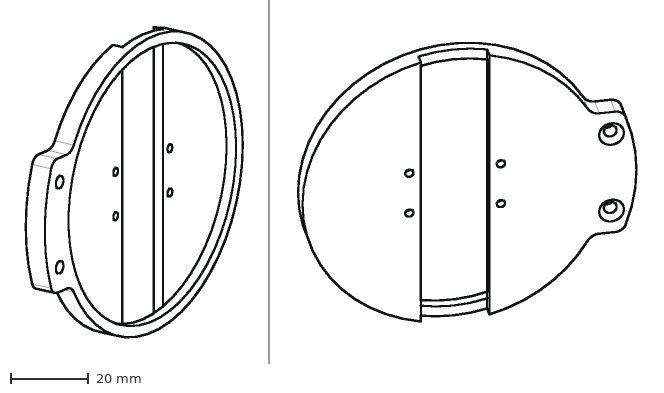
import cadquery as cq
import math

thickness = 6.0
disc_radius = 40.0

tab_reach = 47.5
tab_half_width = 18.1
tab_outer_fillet = 3.0
tab_root_fillet = 3.5

channel_width = 17.9
rim_depth = thickness / 2
panel_thickness = thickness - rim_depth
rim_width = 3.0
recess_radius = disc_radius - rim_width

mount_hole_y = -40.95
mount_hole_spacing = 23.0
mount_hole_diameter = 3.3
countersink_diameter = 6.5
countersink_angle = 90

pin_hole_spacing_y = 24.0
pin_hole_spacing_z = 12.0
pin_hole_diameter = 2.1

front_x = -thickness / 2
back_x = thickness / 2


def along_x(start_x):
    """Sketch plane with local axes Y and Z, extruding towards +X."""
    return cq.Workplane("YZ", origin=(start_x, 0, 0))


def plate_with_tab():
    tab = (
        along_x(front_x)
        .center(-tab_reach / 2, 0)
        .rect(tab_reach, 2 * tab_half_width)
        .extrude(thickness)
    )
    tab_end = along_x(front_x).circle(tab_reach).extrude(thickness)
    disc = along_x(front_x).circle(disc_radius).extrude(thickness)
    plate = disc.union(tab.intersect(tab_end))

    root_y = -math.sqrt(disc_radius**2 - tab_half_width**2)
    end_y = -math.sqrt(tab_reach**2 - tab_half_width**2)
    for corner_y, radius in ((root_y, tab_root_fillet), (end_y, tab_outer_fillet)):
        for z in (-tab_half_width, tab_half_width):
            corner = cq.selectors.NearestToPointSelector((0, corner_y, z))
            plate = plate.edges("|X").edges(corner).fillet(radius)
    return plate


def channel():
    """Full-height slot splitting the front panel into two halves."""
    return along_x(front_x).rect(channel_width, 2 * disc_radius).extrude(panel_thickness)


def back_recess():
    """Round pocket open to the +X face, leaving a rim that joins the two halves."""
    return along_x(front_x + panel_thickness).circle(recess_radius).extrude(rim_depth)


def mount_holes():
    sink_radius = countersink_diameter / 2
    hole_radius = mount_hole_diameter / 2
    sink_depth = (sink_radius - hole_radius) / math.tan(math.radians(countersink_angle / 2))
    profile = [
        (front_x, 0),
        (front_x, sink_radius),
        (front_x + sink_depth, hole_radius),
        (back_x, hole_radius),
        (back_x, 0),
    ]
    cutter = cq.Workplane("XY").polyline(profile).close().revolve(360, (0, 0, 0), (1, 0, 0))
    half_spacing = mount_hole_spacing / 2
    upper = cutter.translate((0, mount_hole_y, half_spacing))
    lower = cutter.translate((0, mount_hole_y, -half_spacing))
    return upper.union(lower)


def pin_holes():
    return (
        along_x(front_x)
        .rarray(pin_hole_spacing_y, pin_hole_spacing_z, 2, 2)
        .circle(pin_hole_diameter / 2)
        .extrude(thickness)
    )


result = plate_with_tab().cut(channel()).cut(back_recess()).cut(mount_holes()).cut(pin_holes())